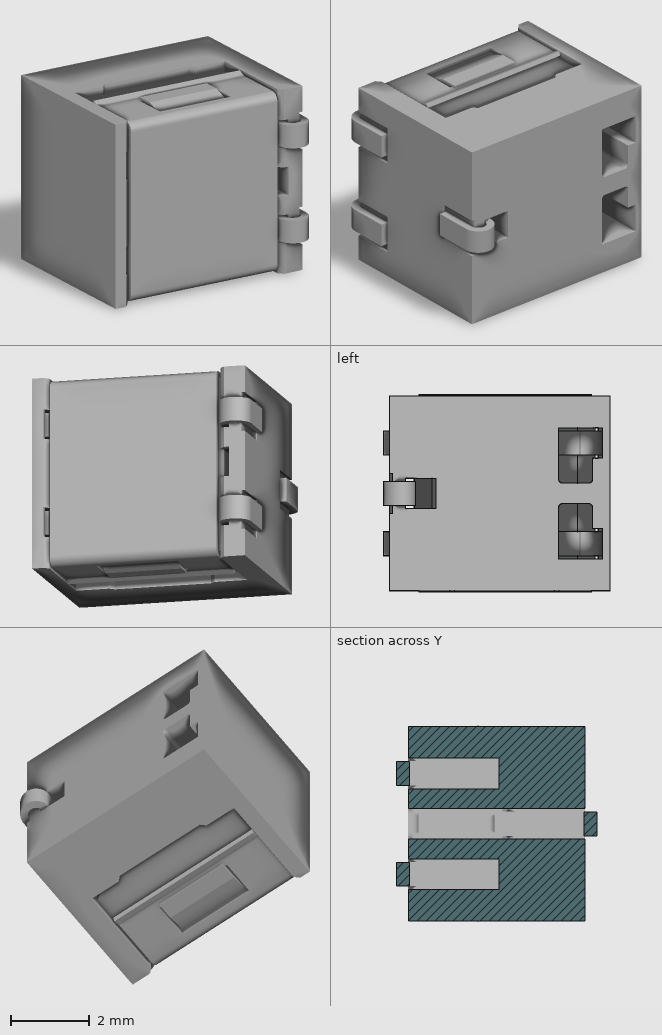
import cadquery as cq
import math


overall_x = 5.21
overall_y = 5.75
overall_z = 5.01

length_x = 4.5
depth_y = 5.6
height_z = 4.95
bay_x = 1.845
bay_y_front = 0.425
bay_y_back = 4.93
bay_mid_y = (bay_y_front + bay_y_back) / 2
mouth_chamfer = 0.12
notch_depth_x = 0.12
notch_half_y = 1.385
notch_below_core = 0.06

core_x_right = 4.23
core_half_y = 2.295
core_half_z = 2.26
core_bevel_x = 0.26
core_bevel_y = core_bevel_x * math.tan(math.radians(60))

cover_mid_y = 2.655
cover_half_y = 2.19
cover_thickness = 0.12
cover_corner_radius = 0.225
flare_x = 2.92
flare_length = 0.23
flare_angle = math.radians(23.5)
flat_half_z = overall_z / 2 - flare_length * math.sin(flare_angle)

window_x = (3.115, 4.08)
window_half_y = 1.065
tongue_x = (3.025, 3.49, 4.03)
tongue_half_y = 1.0
tongue_top_z = 2.47

strip_width = 0.615
strip_clearance = 0.075
slot_half_z = strip_width / 2 + strip_clearance
strip_thickness = 0.2
side_pitch = 1.275

tail_radius = 0.41
tail_center_x = tail_radius - (overall_x - length_x) / 2
tail_center_y = overall_y - tail_radius
tail_pad_x = 1.09
tail_leg_x = 2.3
tail_slot_top_y = 5.185
tail_window_y = 4.415
tail_recess = 0.085
tail_recess_half_z = 0.505
tail_recess_x = 1.15

front_window_y = (0.195, 1.305)
front_window_narrow_y = 0.44
front_window_inner_z = 0.26
front_window_radius = 0.105
bend_radius = 0.57
bend_x = 2.19


def box(x0, x1, y0, y1, z0, z1):
    """Axis-aligned block between two opposite corners."""
    return cq.Workplane("XY").box(x1 - x0, y1 - y0, z1 - z0, centered=False).translate((x0, y0, z0))


def plate(outline, z_mid, thickness):
    """Closed XY outline thickened equally above and below z_mid."""
    return outline.extrude(thickness / 2, both=True).translate((0, 0, z_mid))


def mirrored_x(shape):
    """Copy of a shape flipped to the opposite end of the housing."""
    return shape.mirror("YZ", (length_x / 2, 0, 0))


def make_housing():
    """Block with a bay through Z, open to +X, and a lead-in at its mouth."""
    housing = box(0, length_x, 0, depth_y, -height_z / 2, height_z / 2)
    bay = (
        cq.Workplane("XY")
        .moveTo(bay_x, bay_y_front)
        .lineTo(length_x - mouth_chamfer, bay_y_front)
        .lineTo(length_x, bay_y_front - mouth_chamfer)
        .lineTo(length_x, bay_y_back + mouth_chamfer)
        .lineTo(length_x - mouth_chamfer, bay_y_back)
        .lineTo(bay_x, bay_y_back)
        .close()
    )
    housing = housing.cut(plate(bay, 0, height_z))
    notch_floor_z = core_half_z - notch_below_core
    notch_depth_z = height_z / 2 - notch_floor_z
    for side in (1, -1):
        notch = (
            cq.Workplane("XY")
            .moveTo(bay_x, bay_mid_y - notch_half_y)
            .lineTo(bay_x - notch_depth_x, bay_mid_y - notch_half_y + notch_depth_x)
            .lineTo(bay_x - notch_depth_x, bay_mid_y + notch_half_y - notch_depth_x)
            .lineTo(bay_x, bay_mid_y + notch_half_y)
            .close()
        )
        notch_mid_z = side * (notch_floor_z + notch_depth_z / 2)
        housing = housing.cut(plate(notch, notch_mid_z, notch_depth_z))
    return housing


def make_front_window():
    """L-shaped window in the left wall, opening into a groove along the front wall."""
    y0, y1 = front_window_y
    wide_z0 = side_pitch - slot_half_z
    wide_z1 = side_pitch + slot_half_z
    narrow = (
        box(0, bay_x, front_window_narrow_y, y1, front_window_inner_z, wide_z1)
        .edges("|X and <Z")
        .fillet(front_window_radius)
    )
    wide = box(0, bay_x, y0, y1, wide_z0, wide_z1)
    groove = box(0, length_x - mouth_chamfer, y0, bay_y_front, wide_z0, wide_z1)
    mouth = box(0, length_x, bay_y_front - mouth_chamfer, bay_y_front, wide_z0, wide_z1)
    return narrow.union(wide).union(groove).union(mouth)


def make_front_contact():
    """Strip bent through a quarter turn behind a front window."""
    inner = bend_radius - strip_thickness
    bend_y = front_window_y[0] + bend_radius
    diag = math.sqrt(0.5)
    outline = (
        cq.Workplane("XY")
        .moveTo(bend_x - bend_radius, front_window_y[1])
        .lineTo(bend_x - bend_radius, bend_y)
        .threePointArc(
            (bend_x - bend_radius * diag, bend_y - bend_radius * diag),
            (bend_x, bend_y - bend_radius),
        )
        .lineTo(length_x - mouth_chamfer, bend_y - bend_radius)
        .lineTo(length_x - mouth_chamfer, bend_y - inner)
        .lineTo(bend_x, bend_y - inner)
        .threePointArc(
            (bend_x - inner * diag, bend_y - inner * diag),
            (bend_x - inner, bend_y),
        )
        .lineTo(bend_x - inner, front_window_y[1])
        .close()
    )
    return plate(outline, side_pitch, strip_width)


def make_tail(z_mid):
    """Solder tail curled from its leg in the wall round to a pad on the back face."""
    inner = tail_radius - strip_thickness
    outline = (
        cq.Workplane("XY")
        .moveTo(tail_pad_x, tail_center_y + tail_radius)
        .lineTo(tail_center_x, tail_center_y + tail_radius)
        .threePointArc(
            (tail_center_x - tail_radius, tail_center_y),
            (tail_center_x, tail_center_y - tail_radius),
        )
        .lineTo(tail_leg_x, tail_center_y - tail_radius)
        .lineTo(tail_leg_x, tail_center_y - inner)
        .lineTo(tail_center_x, tail_center_y - inner)
        .threePointArc(
            (tail_center_x - inner, tail_center_y),
            (tail_center_x, tail_center_y + inner),
        )
        .lineTo(tail_pad_x, tail_center_y + inner)
        .close()
    )
    return plate(outline, z_mid, strip_width)


def make_tail_opening(z_mid, slot_end_x):
    """Wall slot for the tail's leg and a shallow recess under its pad."""
    slot_z = (z_mid - slot_half_z, z_mid + slot_half_z)
    recess_z = (z_mid - tail_recess_half_z, z_mid + tail_recess_half_z)
    slot = box(0, slot_end_x, bay_y_back, tail_slot_top_y, *slot_z)
    recess = box(0, tail_recess_x, depth_y - tail_recess, depth_y, *recess_z)
    return slot.union(recess)


def make_core():
    """Block in the bay with its two left corners bevelled."""
    y0 = bay_mid_y - core_half_y
    y1 = bay_mid_y + core_half_y
    outline = (
        cq.Workplane("XY")
        .moveTo(bay_x + core_bevel_x, y0)
        .lineTo(core_x_right, y0)
        .lineTo(core_x_right, y1)
        .lineTo(bay_x + core_bevel_x, y1)
        .lineTo(bay_x, y1 - core_bevel_y)
        .lineTo(bay_x, y0 + core_bevel_y)
        .close()
    )
    return plate(outline, 0, 2 * core_half_z)


def cover_extrusion(outline, half_y):
    """XZ outline extruded symmetrically about the middle of the cover."""
    return outline.extrude(half_y, both=True).translate((0, cover_mid_y, 0))


def make_cover():
    """Cover plate on the upper half of the core, with its window and tongue."""
    round_x = length_x - cover_corner_radius
    round_z = flat_half_z - cover_corner_radius
    diag = math.sqrt(0.5)
    ridge_x = flare_x - flare_length * math.cos(flare_angle)
    ridge_z = overall_z / 2
    lip_x = ridge_x - cover_thickness * math.sin(flare_angle)
    lip_z = ridge_z - cover_thickness * math.cos(flare_angle)
    root_x = lip_x + (lip_z - core_half_z) / math.tan(flare_angle)
    profile = (
        cq.Workplane("XZ")
        .moveTo(root_x, 0)
        .lineTo(root_x, core_half_z)
        .lineTo(lip_x, lip_z)
        .lineTo(ridge_x, ridge_z)
        .lineTo(flare_x, flat_half_z)
        .lineTo(round_x, flat_half_z)
        .threePointArc(
            (round_x + cover_corner_radius * diag, round_z + cover_corner_radius * diag),
            (length_x, round_z),
        )
        .lineTo(length_x, 0)
        .close()
    )
    cover = cover_extrusion(profile, cover_half_y)
    window_y = (cover_mid_y - window_half_y, cover_mid_y + window_half_y)
    window_floor_z = flat_half_z - cover_thickness
    window = box(*window_x, *window_y, window_floor_z, flat_half_z)
    tongue = (
        cq.Workplane("XZ")
        .moveTo(tongue_x[0], flat_half_z)
        .lineTo(tongue_x[0], tongue_top_z)
        .lineTo(tongue_x[1], tongue_top_z)
        .lineTo(tongue_x[2], window_floor_z)
        .lineTo(window_x[0], window_floor_z)
        .lineTo(window_x[0], flat_half_z)
        .close()
    )
    return cover.cut(window).union(cover_extrusion(tongue, tongue_half_y))


housing = make_housing()
housing = housing.cut(make_tail_opening(0, length_x))
housing = housing.cut(box(0, bay_x, tail_window_y, bay_y_back, -slot_half_z, slot_half_z))
for z_mid in (side_pitch, -side_pitch):
    housing = housing.cut(mirrored_x(make_tail_opening(z_mid, tail_leg_x)))
front_window = make_front_window()
housing = housing.cut(front_window).cut(front_window.mirror("XY"))

cover = make_cover()
result = housing.union(make_core())
result = result.union(cover).union(cover.mirror("XY"))
front_contact = make_front_contact()
result = result.union(front_contact).union(front_contact.mirror("XY"))
result = result.union(make_tail(0))
for z_mid in (side_pitch, -side_pitch):
    result = result.union(mirrored_x(make_tail(z_mid)))